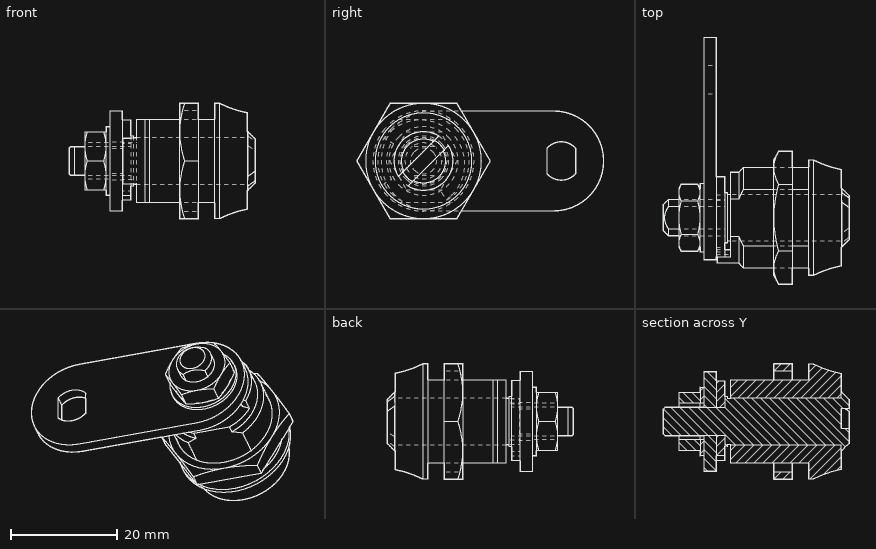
import cadquery as cq
import math


overall_length = 35.1
tail_stickout = 2.95
cam_nut_thickness = 4.0
washer_thickness = 0.7
cam_thickness = 2.4
stop_thickness = 1.6
collar_thickness = 0.5
collar_gap = 0.5
spigot_length = 1.6
shoulder_length = 0.9
body_length = 12.3
rim_width = 0.9
head_taper_length = 5.25

cam_nut_x = tail_stickout
washer_x = cam_nut_x + cam_nut_thickness
cam_x = washer_x + washer_thickness
stop_x = cam_x + cam_thickness
collar_x = stop_x + stop_thickness
neck_x = collar_x + collar_thickness
spigot_x = neck_x + collar_gap
shoulder_x = spigot_x + spigot_length
body_x = shoulder_x + shoulder_length
rim_x = body_x + body_length
taper_x = rim_x + rim_width
face_x = taper_x + head_taper_length

body_radius = 9.5
spigot_radius = 8.6
body_flat_width = 15.7
rim_radius = 10.9
face_radius = 9.1
taper_mid_radius = 9.8
lug_inner_radius = 6.95
lug_half_angle = 30.0
lug_clearance = 0.1

shank_radius = 3.45
shank_flat_width = 5.4
shank_chamfer = 1.0
collar_radius = 4.75
neck_radius = 4.4
core_head_radius = 5.55
core_head_rim = 0.1
driver_slot_width = 2.55
driver_slot_angle = 45.0

stop_radius = 8.35
stop_offset = -0.6
notch_radius = 6.5
cam_travel = 90.0

cam_end_radius = 9.45
cam_near_center = 1.5
cam_far_center = 24.55
latch_hole_center = 26.0
latch_hole_radius = 3.6
washer_radius = 6.5
cam_nut_width = 11.0
cam_nut_chamfer = 0.45
panel_nut_x = 20.85
panel_nut_thickness = 3.5
panel_nut_width = 21.8
panel_nut_chamfer = 0.92


def plane_at(x):
    """Sketch plane across the lock axis, with local axes along +Y and +Z."""
    return cq.Workplane("YZ", origin=(x, 0, 0))


def disc(x, length, radius):
    return plane_at(x).circle(radius).extrude(length)


def turned(profile):
    """Revolve a closed (x, radius) sketch around the lock axis."""
    return profile.close().revolve(360, (0, 0, 0), (1, 0, 0))


def polar(radius, angle):
    """Point (y, z) at the given angle in degrees from +Y toward +Z."""
    turn = math.radians(angle)
    return (radius * math.cos(turn), radius * math.sin(turn))


def ring_sector(x, length, inner_radius, outer_radius, start_angle, end_angle):
    mid_angle = (start_angle + end_angle) / 2
    return (
        plane_at(x)
        .moveTo(*polar(inner_radius, start_angle))
        .lineTo(*polar(outer_radius, start_angle))
        .threePointArc(polar(outer_radius, mid_angle), polar(outer_radius, end_angle))
        .lineTo(*polar(inner_radius, end_angle))
        .threePointArc(polar(inner_radius, mid_angle), polar(inner_radius, start_angle))
        .close()
        .extrude(length)
    )


def double_flat_bar(x, length, radius, flat_width):
    """Round bar with two flats facing +Z and -Z."""
    flats = plane_at(x).rect(2 * radius, flat_width).extrude(length)
    return disc(x, length, radius).intersect(flats)


def make_hex_nut(x, thickness, width, bore, chamfer, chamfer_front):
    """Hex nut with corners on +Y and -Y; the rear face, and optionally the front, is chamfered."""
    face_edge = width / 2
    corner = width / math.sqrt(3)
    front_x = x + thickness
    hexagon = plane_at(x).polygon(6, 2 * corner).extrude(thickness)
    envelope = cq.Workplane("XY").moveTo(x, 0).lineTo(x, face_edge).lineTo(x + chamfer, corner)
    if chamfer_front:
        envelope = envelope.lineTo(front_x - chamfer, corner).lineTo(front_x, face_edge)
    else:
        envelope = envelope.lineTo(front_x, corner)
    envelope = turned(envelope.lineTo(front_x, 0))
    return hexagon.intersect(envelope).cut(bore)


def make_barrel():
    """Housing barrel with its spigot, shoulder and two full-length flats."""
    barrel = turned(
        cq.Workplane("XY")
        .moveTo(spigot_x, 0)
        .lineTo(spigot_x, spigot_radius)
        .lineTo(shoulder_x, spigot_radius)
        .lineTo(body_x, body_radius)
        .lineTo(rim_x, body_radius)
        .lineTo(rim_x, 0)
    )
    flats = plane_at(spigot_x).rect(2 * body_radius, body_flat_width).extrude(rim_x - spigot_x)
    return barrel.intersect(flats)


def make_housing():
    head = turned(
        cq.Workplane("XY")
        .moveTo(rim_x, 0)
        .lineTo(rim_x, rim_radius)
        .lineTo(taper_x, rim_radius)
        .threePointArc(((taper_x + face_x) / 2, taper_mid_radius), (face_x, face_radius))
        .lineTo(face_x, 0)
    )
    lug_x = stop_x + lug_clearance
    lug = ring_sector(
        lug_x, shoulder_x - lug_x, lug_inner_radius, spigot_radius,
        180 - lug_half_angle, 180 + lug_half_angle,
    )
    bore = disc(spigot_x, face_x - spigot_x, neck_radius)
    return make_barrel().union(head).union(lug).cut(bore)


def make_core():
    shank = double_flat_bar(0, collar_x, shank_radius, shank_flat_width)
    tip_envelope = disc(0, collar_x, shank_radius).faces("<X").chamfer(shank_chamfer)
    shank = shank.intersect(tip_envelope)

    collar = disc(collar_x, collar_thickness, collar_radius)
    neck = disc(neck_x, face_x - neck_x, neck_radius)

    head_height = overall_length - face_x
    head = disc(face_x, head_height, core_head_radius).faces(">X").chamfer(head_height - core_head_rim)
    slot = plane_at(face_x).rect(2 * core_head_radius, driver_slot_width).extrude(head_height)
    head = head.cut(slot.rotate((0, 0, 0), (1, 0, 0), driver_slot_angle))
    return shank.union(collar).union(neck).union(head)


def make_stop_disc(shank_hole):
    """Off-centre disc notched so that it turns through the cam travel around the lug."""
    blank = plane_at(stop_x).center(stop_offset, stop_offset).circle(stop_radius).extrude(stop_thickness)
    notch_start = 180 - lug_half_angle
    notch_end = 180 + lug_half_angle + cam_travel
    notch = ring_sector(stop_x, stop_thickness, notch_radius, 2 * stop_radius, notch_start, notch_end)
    return blank.cut(notch).cut(shank_hole)


def make_cam(shank_hole):
    arm_length = cam_far_center - cam_near_center
    arm_middle = (cam_far_center + cam_near_center) / 2
    arm = (
        plane_at(cam_x)
        .center(arm_middle, 0)
        .slot2D(arm_length + 2 * cam_end_radius, 2 * cam_end_radius)
        .extrude(cam_thickness)
    )
    latch_hole = (
        double_flat_bar(cam_x, cam_thickness, latch_hole_radius, shank_flat_width)
        .rotate((0, 0, 0), (1, 0, 0), 90)
        .translate((0, latch_hole_center, 0))
    )
    return arm.cut(shank_hole).cut(latch_hole)


shank_hole = double_flat_bar(0, collar_x, shank_radius, shank_flat_width)
round_shank_hole = disc(0, collar_x, shank_radius)
panel_hole = disc(body_x, body_length, body_radius)

housing = make_housing()
core = make_core()
stop_disc = make_stop_disc(shank_hole)
cam = make_cam(shank_hole)
washer = disc(washer_x, washer_thickness, washer_radius).cut(round_shank_hole)
cam_nut = make_hex_nut(
    cam_nut_x, cam_nut_thickness, cam_nut_width, round_shank_hole, cam_nut_chamfer, True
)
panel_nut = make_hex_nut(
    panel_nut_x, panel_nut_thickness, panel_nut_width, panel_hole, panel_nut_chamfer, False
)

result = cq.Compound.makeCompound([
    housing.val(),
    core.val(),
    stop_disc.val(),
    cam.val(),
    washer.val(),
    cam_nut.val(),
    panel_nut.val(),
])